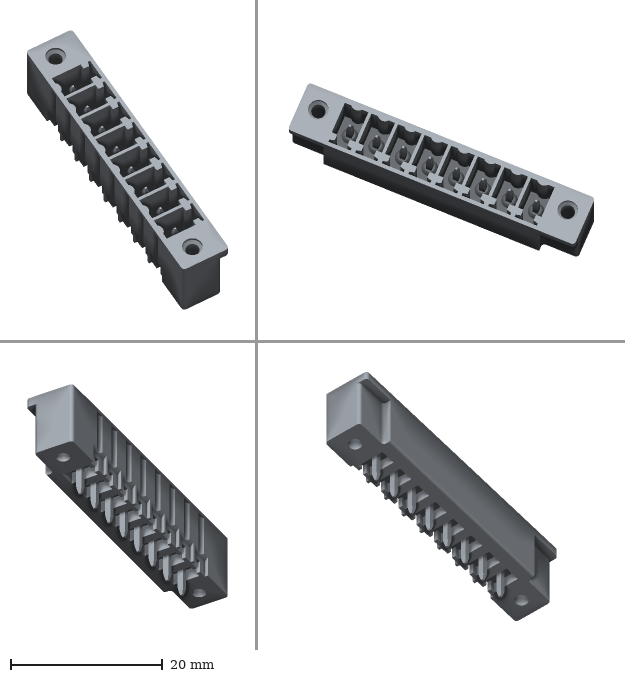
import cadquery as cq

length = 41.05
depth = 7.05
height = 9.25
contact_count = 8
contact_pitch = 3.81
contact_y = 3.0
corner_radius = 0.5

flange_thickness = 1.35
rear_step = 1.25
end_length = 5.1
rear_bottom_radius = 0.35

hole_inset = 2.65
hole_diameter = 1.9
counterbore_diameter = 2.7
counterbore_depth = 0.35
counterbore_cone_depth = 0.35

socket_width = 3.35
socket_front_y = 0.75
socket_rear_y = 5.17
socket_floor_z = 3.3
neck_width = 1.8
neck_corner_radius = 0.12
key_width = 3.15
key_rear_y = 6.55
key_side_y = 6.2
key_inner_y = 6.05

rib_width = 1.55
rib_depth = 0.35

groove_width = 1.4
groove_depth = 0.3
groove_top_gap = 0.5

notch_depth = 0.45
notch_top_z = 2.95
notch_slope_height = 0.5
slot_width = 0.95
cavity_height = 1.72
cavity_front_y = 1.03
cavity_width = 2.4

collar_base_radius = 1.1
collar_middle_radius = 0.9
collar_top_radius = 0.7
collar_middle_height = 0.3
collar_height = 0.45

pin_width = 0.8
pin_tip_width = 0.3
pin_tip_length = 1.1
pin_tip_bulge = 0.05
pin_bottom_z = -3.15
pin_top_z = 7.9

contact_span = contact_pitch * (contact_count - 1)
contact_xs = [(length - contact_span) / 2 + i * contact_pitch for i in range(contact_count)]
hole_xs = [hole_inset, length - hole_inset]
groove_radius = ((groove_width / 2) ** 2 + groove_depth**2) / (2 * groove_depth)
cavity_depth = 2 * (contact_y - cavity_front_y)
pin_side = pin_width / 2
pin_tip_side = pin_tip_width / 2
pin_lower_shoulder_z = pin_bottom_z + pin_tip_length
pin_upper_shoulder_z = pin_top_z - pin_tip_length

selection_margin = 0.05


def box(x_center, width, y_start, y_end, z_start, z_end):
    """Block centred on x_center, spanning the given y and z ranges."""
    block = cq.Workplane("XY").box(width, y_end - y_start, z_end - z_start, centered=(True, False, False))
    return block.translate((x_center, y_start, z_start))


def edges_near(x, y):
    """Selector for what lies close to the vertical line through x and y."""
    low = (x - selection_margin, y - selection_margin, 0)
    high = (x + selection_margin, y + selection_margin, height)
    return cq.selectors.BoxSelector(low, high)


def make_shell():
    """Outer block, narrowed at the back of both ends below the flange."""
    shell = box(length / 2, length, 0, depth, 0, height).edges("|Z").fillet(corner_radius)
    for end_x in (0, length):
        recess = box(end_x, 2 * end_length, depth - rear_step, 2 * depth, 0, height - flange_thickness)
        shell = shell.cut(recess)

    step_y = depth - rear_step
    for corner_x in (0, end_length, length - end_length, length):
        corner = edges_near(corner_x, step_y)
        shell = shell.edges("|Z").edges(corner).fillet(corner_radius)

    return shell.faces("<Z").edges(">Y").fillet(rear_bottom_radius)


def make_mounting_hole(x):
    """Through hole whose counterbore ends in a cone."""
    hole_radius = hole_diameter / 2
    counterbore_radius = counterbore_diameter / 2
    counterbore_z = height - counterbore_depth
    profile = [
        (0, 0),
        (hole_radius, 0),
        (hole_radius, counterbore_z - counterbore_cone_depth),
        (counterbore_radius, counterbore_z),
        (counterbore_radius, height),
        (0, height),
    ]
    hole = cq.Workplane("XZ").polyline(profile).close().revolve(360, (0, 0, 0), (0, 1, 0))
    return hole.translate((x, contact_y, 0))


def make_socket(x):
    """T-shaped socket with a rounded rib along its front wall."""
    side = socket_width / 2
    neck = neck_width / 2
    key = key_width / 2
    outline = (
        cq.Workplane("XY")
        .moveTo(-rib_width / 2, socket_front_y)
        .threePointArc((0, socket_front_y + rib_depth), (rib_width / 2, socket_front_y))
        .lineTo(side, socket_front_y)
        .lineTo(side, socket_rear_y)
        .lineTo(neck, socket_rear_y)
        .lineTo(neck, key_inner_y)
        .lineTo(key, key_side_y)
        .lineTo(key, key_rear_y)
        .lineTo(-key, key_rear_y)
        .lineTo(-key, key_side_y)
        .lineTo(-neck, key_inner_y)
        .lineTo(-neck, socket_rear_y)
        .lineTo(-side, socket_rear_y)
        .lineTo(-side, socket_front_y)
        .close()
    )
    socket = outline.extrude(height - socket_floor_z)
    for corner_x in (-neck, neck):
        corner = edges_near(corner_x, socket_rear_y)
        socket = socket.edges("|Z").edges(corner).fillet(neck_corner_radius)
    return socket.translate((x, 0, socket_floor_z))


def make_collar(x):
    """Two-stage cone on the socket floor, around the pin."""
    profile = [
        (0, 0),
        (collar_base_radius, 0),
        (collar_middle_radius, collar_middle_height),
        (collar_top_radius, collar_height),
        (0, collar_height),
    ]
    collar = cq.Workplane("XZ").polyline(profile).close().revolve(360, (0, 0, 0), (0, 1, 0))
    return collar.translate((x, contact_y, socket_floor_z))


def make_groove(x):
    """Round groove down the front face."""
    groove = cq.Workplane("XY").circle(groove_radius).extrude(height - groove_top_gap)
    return groove.translate((x, groove_depth - groove_radius, 0))


def make_notch(x):
    """Front notch with a sloped roof, a slot and the cavity behind the slot."""
    profile = [
        (0, 0),
        (notch_depth, 0),
        (notch_depth, notch_top_z - notch_slope_height),
        (0, notch_top_z),
    ]
    notch = cq.Workplane("YZ").polyline(profile).close().extrude(socket_width / 2, both=True)
    slot = box(0, slot_width, 0, cavity_front_y, 0, cavity_height)
    cavity = box(0, cavity_width, cavity_front_y, cavity_front_y + cavity_depth, 0, cavity_height)
    return notch.union(slot).union(cavity).translate((x, 0, 0))


def make_pin_front_blade():
    """Plate with the pin's outline across x, tapering straight at both ends."""
    right_side = [
        (pin_tip_side, pin_bottom_z),
        (pin_side, pin_lower_shoulder_z),
        (pin_side, pin_upper_shoulder_z),
        (pin_tip_side, pin_top_z),
    ]
    left_side = [(-side, z) for side, z in reversed(right_side)]
    outline = cq.Workplane("XZ").polyline(right_side + left_side).close()
    return outline.extrude(pin_side, both=True)


def make_pin_side_blade():
    """Plate with the pin's outline across y, narrowing at both ends along slightly bulging arcs."""
    arc_side = (pin_side + pin_tip_side) / 2 + pin_tip_bulge
    lower_arc_z = pin_bottom_z + pin_tip_length / 2
    upper_arc_z = pin_top_z - pin_tip_length / 2
    outline = (
        cq.Workplane("YZ")
        .moveTo(-pin_tip_side, pin_bottom_z)
        .lineTo(pin_tip_side, pin_bottom_z)
        .threePointArc((arc_side, lower_arc_z), (pin_side, pin_lower_shoulder_z))
        .lineTo(pin_side, pin_upper_shoulder_z)
        .threePointArc((arc_side, upper_arc_z), (pin_tip_side, pin_top_z))
        .lineTo(-pin_tip_side, pin_top_z)
        .threePointArc((-arc_side, upper_arc_z), (-pin_side, pin_upper_shoulder_z))
        .lineTo(-pin_side, pin_lower_shoulder_z)
        .threePointArc((-arc_side, lower_arc_z), (-pin_tip_side, pin_bottom_z))
        .close()
    )
    return outline.extrude(pin_side, both=True)


def make_pin(x):
    """Square pin with both ends narrowed on all four sides."""
    pin = make_pin_front_blade().intersect(make_pin_side_blade())
    return pin.translate((x, contact_y, 0))


def make_housing():
    """One-piece housing, with a matching hole for every pin."""
    housing = make_shell()
    for x in hole_xs:
        housing = housing.cut(make_mounting_hole(x))
    for x in contact_xs:
        housing = housing.cut(make_socket(x)).union(make_collar(x))
        housing = housing.cut(make_groove(x)).cut(make_notch(x)).cut(make_pin(x))
    return housing


housing = make_housing()
pins = [make_pin(x) for x in contact_xs]

result = cq.Compound.makeCompound([housing.solids().val(), *[pin.solids().val() for pin in pins]])